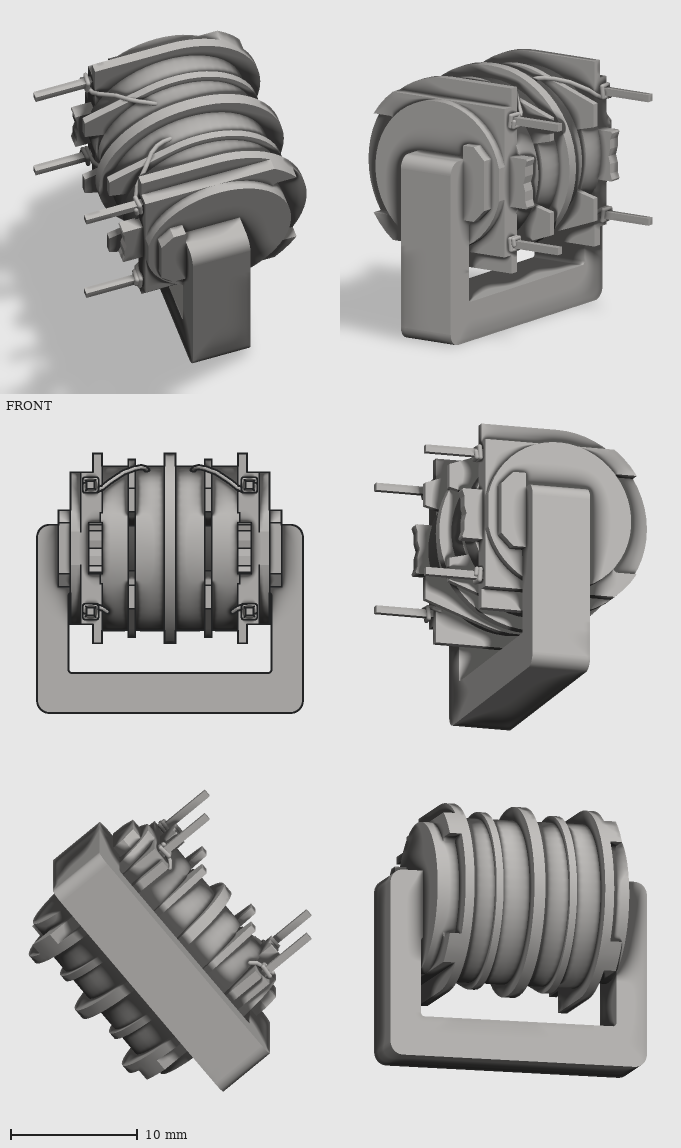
import cadquery as cq
import math


core_width = 21.0
core_top = 1.87
core_height = 14.87
core_back = 1.72
core_depth = 4.79
core_corner_radius = 1.0
window_width = 16.0
window_height = 6.35
window_corner_radius = 0.27
core_foot = 3.17

coil_radius = 6.49
coil_length = 11.0
hub_radius = 3.57

flange_radius = 7.5
flange_offset = 0.4
mid_flange_thickness = 0.9
end_flange_inner = 5.35
end_flange_outer = 6.1
flange_front = -5.85

plate_outer = 7.05
plate_half_height = 6.0
notch_half_height = 4.01
notch_front = 4.79
notch_corner_radius = 0.38
disc_radius = plate_half_height
disc_outer = 7.85

divider_radius = 7.01
divider_inner = 2.73
divider_outer = 3.3
wing_front = -7.6
wing_half_height = 4.75
slot_mouth_half = 2.9
slot_root_half = 1.78

clip_outer = 8.8
clip_half_height = 3.02
clip_front = -5.1
clip_chamfer = 1.0

block_outer = 6.4
block_half_height = 2.02
block_tip_height = 1.87
block_flat_height = 1.39
block_groove_height = 0.6
block_front = -7.54
block_edge_relief = 0.06
block_flat_depth = 0.17
block_groove_depth = 0.34

pin_size = 0.59
pin_x = -6.25
pin_z = 5.0
pin_tip = -10.6
pin_root = -4.2

wire_radius = 0.178
wrap_half = 0.45
wrap_inner_y = -6.13
wrap_outer_y = -6.5


def slab(outline, x_from, x_to):
    """Extrude a YZ outline between two X positions."""
    return outline.extrude(x_to - x_from).translate((x_from, 0, 0))


def box(x_range, y_range, z_range):
    """Box spanning three (low, high) ranges."""
    size = [high - low for low, high in (x_range, y_range, z_range)]
    return cq.Workplane("XY").box(*size, centered=False).translate((x_range[0], y_range[0], z_range[0]))


def make_core():
    centre_y = core_back - core_depth / 2
    centre_z = core_top - core_height / 2
    frame = cq.Workplane("XY").box(core_width, core_depth, core_height).edges("|Y").fillet(core_corner_radius)
    window_z = core_foot + window_height / 2 - core_height / 2
    window = cq.Workplane("XY").box(window_width, core_depth, window_height)
    window = window.edges("|Y").fillet(window_corner_radius).translate((0, 0, window_z))
    return frame.cut(window).translate((0, centre_y, centre_z))


def make_coil():
    return slab(cq.Workplane("YZ").circle(coil_radius), -coil_length / 2, coil_length / 2)


def make_mid_flange():
    outline = (
        cq.Workplane("YZ")
        .moveTo(flange_offset, flange_radius)
        .threePointArc((flange_offset + flange_radius, 0), (flange_offset, -flange_radius))
        .lineTo(0, -flange_radius)
        .threePointArc((-flange_radius, 0), (0, flange_radius))
        .close()
    )
    return slab(outline, -mid_flange_thickness / 2, mid_flange_thickness / 2)


def end_outline():
    return (
        cq.Workplane("YZ")
        .moveTo(flange_offset, flange_radius)
        .threePointArc((flange_offset + flange_radius, 0), (flange_offset, -flange_radius))
        .lineTo(flange_front, -flange_radius)
        .lineTo(flange_front, flange_radius)
        .close()
    )


def make_bobbin_end():
    """Flange, end plate with a notch at the back, and round end disc cut flush at the front."""
    flange = slab(end_outline(), -end_flange_outer, -end_flange_inner)
    back = flange_offset + flange_radius
    plate = slab(end_outline(), -plate_outer, -end_flange_outer)
    plate_limits = box(
        (-plate_outer, -end_flange_outer), (flange_front, back), (-plate_half_height, plate_half_height)
    )
    notch = box((-plate_outer, -end_flange_outer), (notch_front, back), (-notch_half_height, notch_half_height))
    notch = notch.edges("|X and <Y").fillet(notch_corner_radius)
    plate = plate.intersect(plate_limits).cut(notch)
    disc = slab(cq.Workplane("YZ").circle(disc_radius), -disc_outer, -end_flange_outer)
    disc_limits = box((-disc_outer, -end_flange_outer), (flange_front, back), (-disc_radius, disc_radius))
    return flange.union(plate).union(disc.intersect(disc_limits))


def make_divider():
    """Round rim whose front runs off along tangents into two blunt wings."""
    wing_reach = math.hypot(wing_front, wing_half_height)
    tangent_angle = math.atan2(wing_half_height, wing_front) - math.acos(divider_radius / wing_reach)
    tangent_y = divider_radius * math.cos(tangent_angle)
    tangent_z = divider_radius * math.sin(tangent_angle)
    outline = (
        cq.Workplane("YZ")
        .moveTo(tangent_y, tangent_z)
        .threePointArc((divider_radius, 0), (tangent_y, -tangent_z))
        .lineTo(wing_front, -wing_half_height)
        .lineTo(wing_front, wing_half_height)
        .close()
    )
    return slab(outline, -divider_outer, -divider_inner)


def make_divider_slot():
    """Tapered front slot between the wings, reaching down to the hub."""
    root_y = -math.sqrt(hub_radius**2 - slot_root_half**2)
    outline = (
        cq.Workplane("YZ")
        .moveTo(wing_front, -slot_mouth_half)
        .lineTo(root_y, -slot_root_half)
        .threePointArc((-hub_radius, 0), (root_y, slot_root_half))
        .lineTo(wing_front, slot_mouth_half)
        .close()
    )
    return slab(outline, -divider_outer, -divider_inner)


def make_clip():
    clip = box(
        (-clip_outer, -disc_outer), (clip_front, core_back - core_depth), (-clip_half_height, clip_half_height)
    )
    return clip.edges("|X and <Y").chamfer(clip_chamfer)


def make_block():
    upper = [
        (block_front + block_edge_relief, block_half_height),
        (block_front, block_tip_height),
        (block_front + block_flat_depth, block_flat_height),
        (block_front + block_flat_depth, block_groove_height),
    ]
    lower = [(y, -z) for y, z in reversed(upper)]
    groove = [(block_front + block_groove_depth, 0)]
    back = [(flange_front, -block_half_height), (flange_front, block_half_height)]
    outline = cq.Workplane("YZ").polyline(upper + groove + lower + back).close()
    return slab(outline, -block_outer, -end_flange_inner)


def make_pin(z):
    half = pin_size / 2
    return box((pin_x - half, pin_x + half), (pin_tip, pin_root), (z - half, z + half))


def make_wire(points):
    """Round wire through the points, with a ball at every joint and end."""
    balls = [cq.Workplane("XY").sphere(wire_radius).translate(point).val() for point in points]
    rods = []
    for start, end in zip(points, points[1:]):
        run = cq.Vector(*end) - cq.Vector(*start)
        rods.append(cq.Solid.makeCylinder(wire_radius, run.Length, cq.Vector(*start), run))
    return cq.Workplane(rods[0].fuse(*rods[1:], *balls))


def wrap_points():
    """Centreline of the wire round the upper pin, from its free end to the inner lower corner."""
    left = pin_x - wrap_half
    right = pin_x + wrap_half
    bottom = pin_z - wrap_half
    top = pin_z + wrap_half
    corners = [(left, pin_z), (left, bottom), (right, bottom), (right, top), (left, top), (left, bottom)]
    pitch = (wrap_inner_y - wrap_outer_y) / (len(corners) - 1)
    turn = [(x, wrap_outer_y + step * pitch, z) for step, (x, z) in enumerate(corners)]
    return turn + [(right, wrap_inner_y, bottom)]


upper_lead = [
    (-5.33, -6.07, 4.79),
    (-4.7, -5.75, 5.3),
    (-3.65, -4.68, 5.98),
    (-2.73, -3.9, 6.32),
    (-2.27, -3.28, 6.4),
    (-2.0, -2.67, 6.35),
    (-1.78, -2.02, 6.13),
]
lower_lead = [(-5.33, -6.0, 4.75), (-4.95, -5.65, 5.0)]

upper_wire = make_wire(wrap_points() + upper_lead)
lower_wire = make_wire(wrap_points() + lower_lead).mirror("XY")

side = make_bobbin_end().union(make_clip()).union(make_block())
for pin_height in (pin_z, -pin_z):
    side = side.union(make_pin(pin_height))
side = side.union(upper_wire).union(lower_wire)

divider = make_divider()
slot = make_divider_slot()
winding = make_coil().union(divider).union(divider.mirror("YZ"))
winding = winding.cut(slot).cut(slot.mirror("YZ"))

result = make_core().union(winding).union(make_mid_flange()).union(side).union(side.mirror("YZ"))